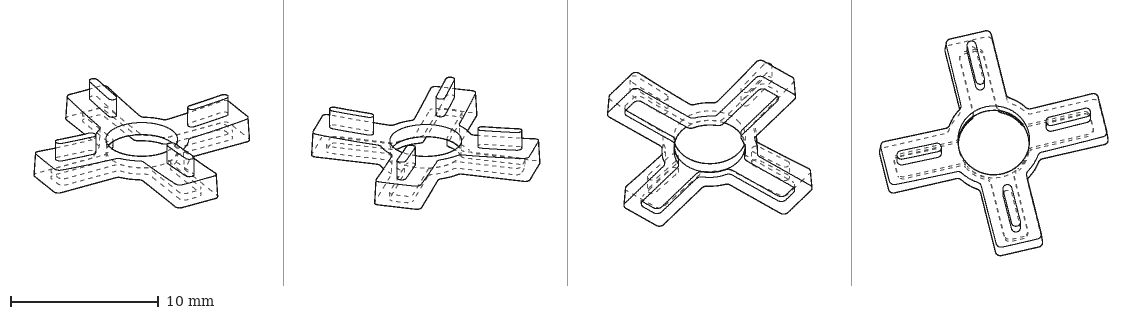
import cadquery as cq
import math

span = 15.3
arm_width = 3.29
hub_radius = 3.25
corner_radius = 0.35
draft_angle = 2.5

dish_radius = 84.15
dish_low_z = 1.36

total_height = 2.97
rib_inner_end = 3.65
rib_outer_end = 6.73
rib_width = 0.61
rib_length = rib_outer_end - rib_inner_end
rib_mid = (rib_outer_end + rib_inner_end) / 2

bore_top_radius = 2.43
bore_lip_radius = 2.39
pocket_hub_radius = 2.42
pocket_depth = 0.49
wall = hub_radius - pocket_hub_radius
pocket_corner_radius = 0.4

quarter_turns = (0, 90, 180, 270)


def dish_rise(radius):
    """Height of the dish surface above its lowest point."""
    return dish_radius - math.sqrt(dish_radius**2 - radius**2)


trim_margin = 0.15
blank_height = dish_low_z + dish_rise(span / 2) + trim_margin


def cross(length, width, radius, height, taper, fillet):
    """Two crossed bars and a round hub, with all upright edges rounded."""
    base = cq.Workplane("XY")
    bar_x = base.rect(length, width).extrude(height, taper=taper)
    bar_y = base.rect(width, length).extrude(height, taper=taper)
    hub = base.circle(radius).extrude(height, taper=taper)
    body = bar_x.union(bar_y).union(hub)
    upright = [e for e in body.edges().vals() if e.BoundingBox().zlen > height / 2]
    return body.newObject(upright).fillet(fillet)


def dish(low_z):
    """Ball whose underside is the dished surface."""
    return cq.Workplane("XY").sphere(dish_radius).translate((0, 0, low_z + dish_radius))


def make_base():
    blank = cross(span, arm_width, hub_radius, blank_height, draft_angle, corner_radius)
    return blank.cut(dish(dish_low_z))


def make_ribs():
    """Four round-ended ribs, cut off by the dish surface moved straight up."""
    rib_top_low_z = total_height - dish_rise(rib_outer_end)
    root_z = (pocket_depth + dish_low_z) / 2
    rib = (
        cq.Workplane("XY", origin=(rib_mid, 0, root_z))
        .slot2D(rib_length, rib_width)
        .extrude(total_height + trim_margin - root_z)
    )
    ribs = cq.Workplane("XY")
    for angle in quarter_turns:
        ribs = ribs.add(rib.rotate((0, 0, 0), (0, 0, 1), angle))
    return ribs.combine().cut(dish(rib_top_low_z))


def make_bore():
    """Tapered hole that narrows from the dish down to the pocket floor."""
    rim_z = dish_low_z + dish_rise(bore_top_radius)
    slope = (bore_top_radius - bore_lip_radius) / (rim_z - pocket_depth)
    upper_radius = bore_lip_radius + slope * (blank_height - pocket_depth)
    return (
        cq.Workplane("XY", origin=(0, 0, pocket_depth))
        .circle(bore_lip_radius)
        .workplane(offset=blank_height - pocket_depth)
        .circle(upper_radius)
        .loft()
    )


def make_pocket():
    """Flat-floored recess that leaves an even wall around the cross at the bottom."""
    return cross(
        span - 2 * wall, arm_width - 2 * wall, pocket_hub_radius, pocket_depth, 0, pocket_corner_radius
    )


result = make_base().union(make_ribs()).cut(make_pocket()).cut(make_bore())